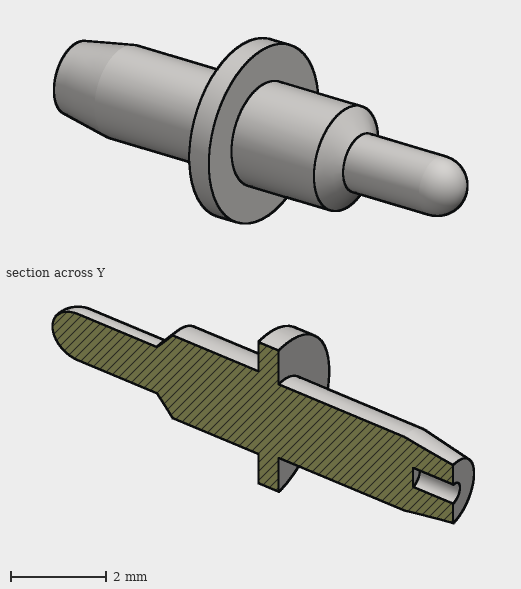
import cadquery as cq

total_length = 10.03

flange_diameter = 3.89
body_diameter = 2.29
tail_diameter = 2.04
tail_tip_diameter = 1.6
plunger_diameter = 1.28
hole_diameter = 0.51

tail_taper_length = 1.22
tail_length = 4.36
flange_thickness = 0.51
body_length = 2.15
shoulder_length = 0.39
hole_depth = 1.0

flange_end = tail_length + flange_thickness
body_end = flange_end + body_length
shoulder_end = body_end + shoulder_length
dome_radius = plunger_diameter / 2
dome_start = total_length - dome_radius
dome_mid_offset = dome_radius * 0.5 ** 0.5


def turned_pin():
    """Revolve the half profile of the pin about the X axis."""
    profile = (
        cq.Workplane("XY")
        .moveTo(0, 0)
        .lineTo(0, tail_tip_diameter / 2)
        .lineTo(tail_taper_length, tail_diameter / 2)
        .lineTo(tail_length, tail_diameter / 2)
        .lineTo(tail_length, flange_diameter / 2)
        .lineTo(flange_end, flange_diameter / 2)
        .lineTo(flange_end, body_diameter / 2)
        .lineTo(body_end, body_diameter / 2)
        .lineTo(shoulder_end, dome_radius)
        .lineTo(dome_start, dome_radius)
        .threePointArc((dome_start + dome_mid_offset, dome_mid_offset), (total_length, 0))
        .close()
    )
    return profile.revolve(360, (0, 0, 0), (1, 0, 0))


def tail_hole():
    """Blind axial hole in the tail end."""
    return cq.Workplane("YZ").circle(hole_diameter / 2).extrude(hole_depth)


result = turned_pin().cut(tail_hole())